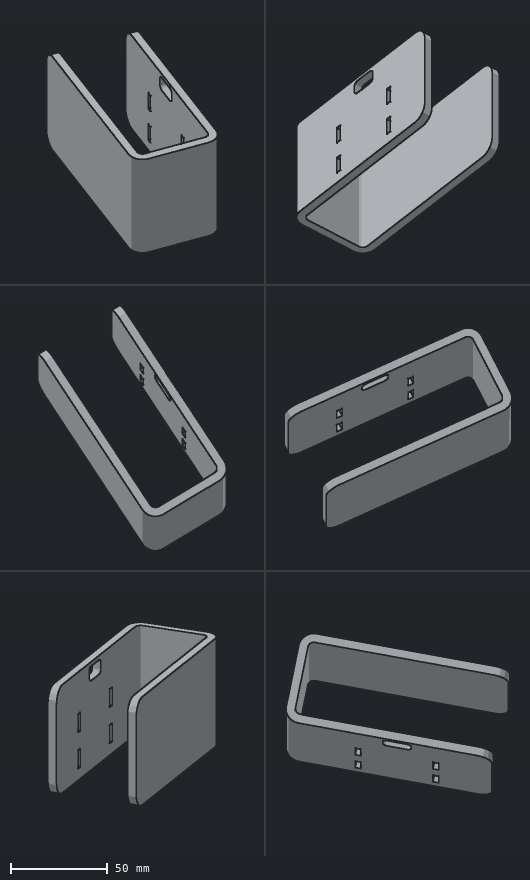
import cadquery as cq

length = 110.0
width = 50.0
height = 60.0
wall = 5.0
bend_radius = 8.0
inner_bend_radius = bend_radius - wall
corner_radius = 8.0

pattern_x = -5.0
strap_slot_width = 3.0
strap_slot_height = 10.0
strap_pitch_x = 41.0
strap_pitch_z = 20.0
strap_center_z = -8.2
window_length = 15.0
window_height = 8.0
window_radius = 2.5
window_center_z = 23.5


def channel():
    """Bent channel with rounded vertical edges at the closed end."""
    outer = cq.Workplane("XY").box(length, width, height).edges("|Z and >X").fillet(bend_radius)
    cavity = (
        cq.Workplane("XY")
        .box(length, width - 2 * wall, height)
        .translate((-wall, 0, 0))
        .edges("|Z and >X")
        .fillet(inner_bend_radius)
    )
    return outer.cut(cavity)


def wall_cutter(size_x, size_z, x, z):
    """Block that passes through the +Y wall only."""
    return cq.Workplane("XY").box(size_x, 2 * wall, size_z).translate((x, width / 2, z))


def strap_slots():
    """Two by two pattern of narrow upright slots."""
    slots = cq.Workplane("XY")
    for side_x in (-1, 1):
        for side_z in (-1, 1):
            x = pattern_x + side_x * strap_pitch_x / 2
            z = strap_center_z + side_z * strap_pitch_z / 2
            slots = slots.add(wall_cutter(strap_slot_width, strap_slot_height, x, z))
    return slots.combine()


def window():
    """Rounded rectangular opening near the top edge."""
    block = wall_cutter(window_length, window_height, pattern_x, window_center_z)
    return block.edges("|Y").fillet(window_radius)


bracket = channel().edges("|Y and <X").fillet(corner_radius)
result = bracket.cut(strap_slots()).cut(window())